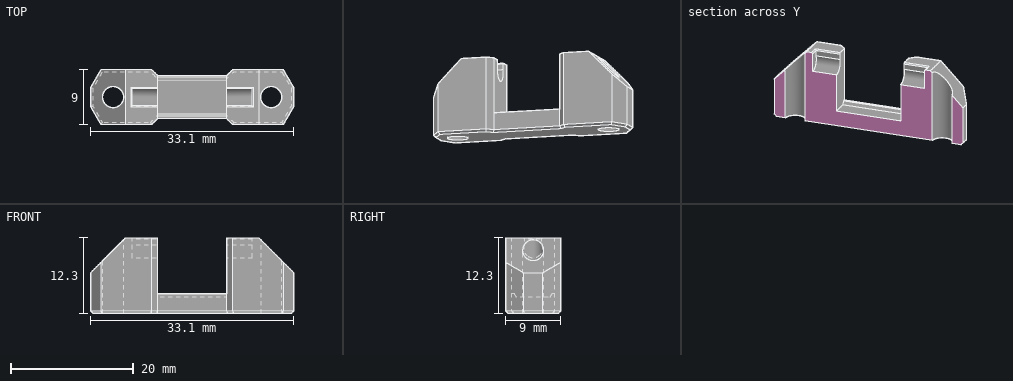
import cadquery as cq
import math

length = 33.05
width = 9.0
height = 12.3
base_chamfer = 0.4

end_face_width = 3.1
end_taper_angle = 60.0
gap_length = 11.2
neck_chamfer = 1.0

bridge_height = 3.2
rim_width = 0.43
channel_depth = 0.55
channel_slope_run = 0.33

top_edge_x = 10.85
hole_diameter = 3.4
hole_x = 12.85

seat_end_x = 9.75
seat_mouth_width = 2.78
seat_diameter = 3.05
seat_axis_depth = 1.75
seat_chamfer = 0.2

half_length = length / 2
half_width = width / 2
half_gap = gap_length / 2
bridge_half_width = half_width - neck_chamfer


def mirrored_across_x(points):
    """Close an outline by mirroring its points across the X axis."""
    return points + [(x, -y) for x, y in reversed(points)]


def make_body():
    taper_run = (half_width - end_face_width / 2) / math.tan(math.radians(end_taper_angle))
    right_side = [
        (half_gap, bridge_half_width),
        (half_gap + neck_chamfer, half_width),
        (half_length - taper_run, half_width),
        (half_length, end_face_width / 2),
    ]
    left_side = [(-x, y) for x, y in reversed(right_side)]
    outline = mirrored_across_x(left_side + right_side)
    body = cq.Workplane("XY").polyline(outline).close().extrude(height)
    return body.faces("<Z").chamfer(base_chamfer)


def make_gap():
    """Space between the towers, down to the rims of the bridge."""
    return cq.Workplane("XY").workplane(offset=bridge_height).rect(gap_length, width).extrude(height)


def make_channel():
    """Shallow trough with sloping sides along the top of the bridge."""
    top_half = bridge_half_width - rim_width
    floor_half = top_half - channel_slope_run
    floor_z = bridge_height - channel_depth
    profile = [
        (-top_half, bridge_height),
        (-floor_half, floor_z),
        (floor_half, floor_z),
        (top_half, bridge_height),
    ]
    plane = cq.Workplane("YZ").workplane(offset=-half_gap)
    return plane.polyline(profile).close().extrude(gap_length)


def make_end_slopes():
    """45 degree wedges above both ends."""
    drop = half_length - top_edge_x
    slopes = cq.Workplane("XZ")
    for side in (-1, 1):
        slopes = (
            slopes.moveTo(side * top_edge_x, height)
            .lineTo(side * half_length, height)
            .lineTo(side * half_length, height - drop)
            .close()
        )
    return slopes.extrude(half_width, both=True)


def make_screw_holes():
    return cq.Workplane("XY").pushPoints([(-hole_x, 0), (hole_x, 0)]).circle(hole_diameter / 2).extrude(height)


def make_rod_seats():
    """Keyhole seats of both towers, joined across the open gap."""
    axis_z = height - seat_axis_depth
    seat_length = 2 * seat_end_x
    plane = cq.Workplane("YZ", origin=(-seat_end_x, 0, axis_z))
    bore = plane.circle(seat_diameter / 2).extrude(seat_length)
    mouth = (
        cq.Workplane("XY", origin=(0, 0, axis_z))
        .rect(seat_length, seat_mouth_width)
        .extrude(seat_axis_depth)
    )
    lead_in = (
        cq.Workplane("XY", origin=(0, 0, height))
        .rect(seat_length + 2 * seat_chamfer, seat_mouth_width + 2 * seat_chamfer)
        .workplane(offset=-seat_chamfer)
        .rect(seat_length, seat_mouth_width)
        .loft(ruled=True)
    )
    return bore.union(mouth).union(lead_in)


result = make_body()
result = result.cut(make_gap())
result = result.cut(make_channel())
result = result.cut(make_end_slopes())
result = result.cut(make_screw_holes())
result = result.cut(make_rod_seats())